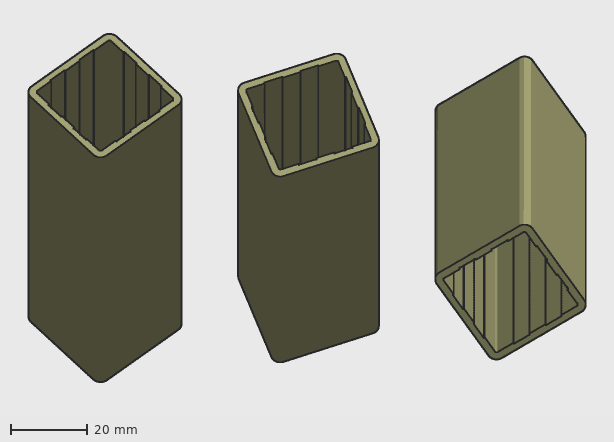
import cadquery as cq

length = 100.0
side = 30.0
wall = 2.1
outer_radius = 2.5
bore_radius = 0.5
bore = side - 2 * wall

groove_width = 5.0
groove_depth = 0.3
groove_spacing = 10.0


def square_prism(width, corner_radius):
    """Upright square prism with rounded vertical edges, centred on the origin."""
    return cq.Workplane("XY").box(width, width, length).edges("|Z").fillet(corner_radius)


def groove_pair_cutter(offset):
    """Bar across the bore that cuts facing grooves in the +X and -X walls."""
    return (
        cq.Workplane("XY")
        .center(0, offset)
        .box(bore + 2 * groove_depth, groove_width, length)
    )


result = square_prism(side, outer_radius).cut(square_prism(bore, bore_radius))

for turn in (0, 90):
    for offset in (-groove_spacing / 2, groove_spacing / 2):
        cutter = groove_pair_cutter(offset).rotate((0, 0, 0), (0, 0, 1), turn)
        result = result.cut(cutter)